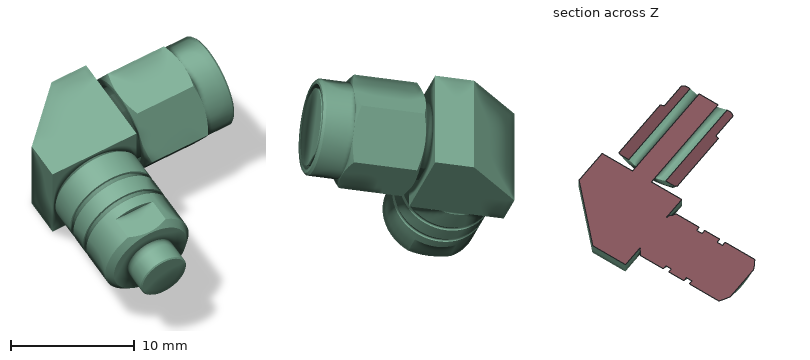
import cadquery as cq
import math

overall_length = 19.48

block_size = 7.9
block_bevel = 4.65
block_half = block_size / 2

neck_diameter = 6.3
neck_across_flats = 6.0

nut_gap = 0.7
bore_diameter = 7.01
hex_across_flats = 8.0
hex_length = 6.0
hex_end_radius = hex_across_flats / 2
hex_chamfer_angle = 30.0
barrel_length = 2.61
barrel_diameter = 7.9
barrel_chamfer = 0.2
hex_corner_radius = hex_across_flats / 2 / math.cos(math.radians(30))

sleeve_diameter = 7.85
sleeve_radius = sleeve_diameter / 2
sleeve_length = 8.73
collar_radius = 3.7
collar_length = 0.2
groove_radius = 3.7
groove_width = 0.5
groove_starts = (2.73, 4.75)
sleeve_end_chamfer = 0.5
flat_start = 6.2
flat_height = 3.5

ferrule_radius = 2.12
ferrule_chamfer = 0.1
ferrule_end = overall_length - hex_corner_radius - block_half

neck_start = block_half
hex_start = neck_start + nut_gap
hex_end = hex_start + hex_length
nut_end = hex_end + barrel_length


def disc_along_x(start, length, radius):
    """Cylinder on the sleeve axis, starting a distance from the block face."""
    plane = cq.Workplane("YZ", origin=(block_half + start, 0, 0))
    return plane.circle(radius).extrude(length)


def plane_along_y(start):
    """Sketch plane across the nut axis, its normal along +Y and its local x along X."""
    return cq.Workplane(cq.Plane(origin=(0, start, 0), xDir=(1, 0, 0), normal=(0, 1, 0)))


def make_block():
    block = cq.Workplane("XY").box(block_size, block_size, block_size)
    return block.edges("|Z and <X and <Y").chamfer(block_bevel)


def make_neck():
    neck_length = nut_end - neck_start
    neck = plane_along_y(neck_start).circle(neck_diameter / 2).extrude(neck_length)
    flats = plane_along_y(neck_start).rect(neck_diameter, neck_across_flats).extrude(neck_length)
    return neck.intersect(flats)


def make_sleeve():
    shoulder = sleeve_radius - collar_radius
    sleeve = (
        cq.Workplane("XY", origin=(block_half, 0, 0))
        .lineTo(0, collar_radius - collar_length)
        .tangentArcPoint((collar_length, collar_radius), relative=False)
        .lineTo(collar_length + shoulder, sleeve_radius)
        .lineTo(sleeve_length - sleeve_end_chamfer, sleeve_radius)
        .lineTo(sleeve_length, sleeve_radius - sleeve_end_chamfer)
        .lineTo(sleeve_length, 0)
        .close()
        .revolve(360, (0, 0, 0), (1, 0, 0))
    )

    for start in groove_starts:
        ring = disc_along_x(start, groove_width, sleeve_radius)
        ring = ring.cut(disc_along_x(start, groove_width, groove_radius))
        sleeve = sleeve.cut(ring)

    flat_length = sleeve_length - flat_start
    flat_depth = sleeve_radius - flat_height
    for side in (1, -1):
        cutter = cq.Workplane("XY").box(flat_length, 2 * sleeve_radius, flat_depth)
        cutter = cutter.translate((
            block_half + flat_start + flat_length / 2,
            0,
            side * (flat_height + flat_depth / 2),
        ))
        sleeve = sleeve.cut(cutter)
    return sleeve


def make_ferrule():
    ferrule = disc_along_x(sleeve_length, ferrule_end - sleeve_length, ferrule_radius)
    return ferrule.faces(">X").chamfer(ferrule_chamfer)


def make_elbow():
    return make_block().union(make_neck()).union(make_sleeve()).union(make_ferrule())


def make_coupling_nut():
    hexagon = plane_along_y(hex_start).polygon(6, 2 * hex_corner_radius).extrude(hex_length)

    chamfer_width = hex_corner_radius - hex_end_radius
    chamfer_depth = chamfer_width * math.tan(math.radians(hex_chamfer_angle))
    envelope = (
        cq.Workplane("XY")
        .moveTo(0, hex_start)
        .lineTo(hex_end_radius, hex_start)
        .lineTo(hex_corner_radius, hex_start + chamfer_depth)
        .lineTo(hex_corner_radius, hex_end - chamfer_depth)
        .lineTo(hex_end_radius, hex_end)
        .lineTo(0, hex_end)
        .close()
        .revolve(360, (0, 0, 0), (0, 1, 0))
    )

    barrel = plane_along_y(hex_end).circle(barrel_diameter / 2).extrude(barrel_length)
    barrel = barrel.faces(">Y").chamfer(barrel_chamfer)
    bore = plane_along_y(hex_start).circle(bore_diameter / 2).extrude(nut_end - hex_start)
    return hexagon.intersect(envelope).union(barrel).cut(bore)


elbow = make_elbow()
coupling_nut = make_coupling_nut()

result = cq.Compound.makeCompound([elbow.solids().val(), coupling_nut.solids().val()])